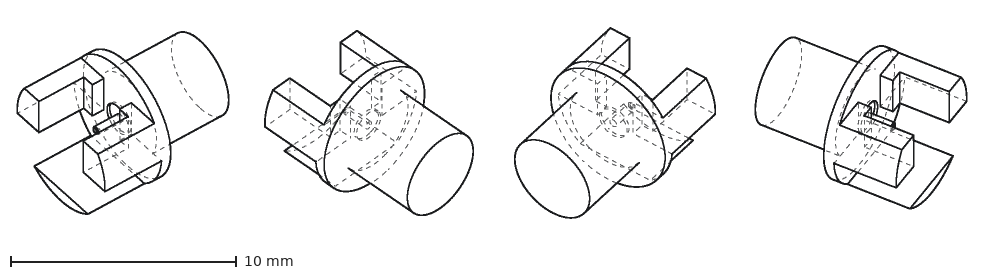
import cadquery as cq

total_length = 7.8
flange_diameter = 6.35
flange_thickness = 0.52
leg_length = 3.175
barrel_diameter = 4.165
barrel_length = total_length - leg_length - flange_thickness
root_fillet = 0.055

leg_top = 1.74
leg_bottom = -0.18
leg_gap = 3.19
step_gap = 1.965
step_length = 0.655

lower_leg_top = -2.51

insulator_diameter = 1.52
insulator_recess = 0.15
pin_diameter = 0.38
pin_length = 1.26
pin_chamfer = 0.055

flange_front = -flange_thickness
leg_end = flange_front - leg_length


def cylinder(diameter, y_start, y_end):
    """Cylinder on the Y axis from y_start to y_end, with y_start < y_end."""
    return (
        cq.Workplane("XZ", origin=(0, y_end, 0))
        .circle(diameter / 2)
        .extrude(y_end - y_start)
    )


def box(x_range, y_range, z_range):
    """Axis-aligned box from the two ends along each axis."""
    ranges = (x_range, y_range, z_range)
    sizes = [high - low for low, high in ranges]
    corner = tuple(low for low, high in ranges)
    return cq.Workplane("XY").box(*sizes, centered=False).translate(corner)


def side_leg(side):
    """Leg with a stepped root, on side +1 (+X) or -1 (-X)."""

    def block(gap, y_front):
        x_range = sorted((side * gap / 2, side * flange_diameter / 2))
        return box(x_range, (y_front, flange_front), (leg_bottom, leg_top))

    return block(leg_gap, leg_end).union(block(step_gap, flange_front - step_length))


def legs():
    """Two side legs and the lower leg, trimmed to the flange circle."""
    radius = flange_diameter / 2
    lower_leg = box((-radius, radius), (leg_end, flange_front), (-radius, lower_leg_top))
    blocks = side_leg(1).union(side_leg(-1)).union(lower_leg)
    return blocks.intersect(cylinder(flange_diameter, leg_end, flange_front))


flange = cylinder(flange_diameter, flange_front, 0)
barrel = cylinder(barrel_diameter, 0, barrel_length)
body = flange.union(barrel)
body = body.edges(cq.selectors.RadiusNthSelector(0)).edges("<Y").fillet(root_fillet)
body = body.union(legs())

insulator_face = flange_front + insulator_recess
body = body.cut(cylinder(insulator_diameter, flange_front, insulator_face))

pin = cylinder(pin_diameter, flange_front - pin_length, insulator_face)
pin = pin.faces("<Y").chamfer(pin_chamfer)

result = body.union(pin).translate((0, total_length / 2 - barrel_length, 0))